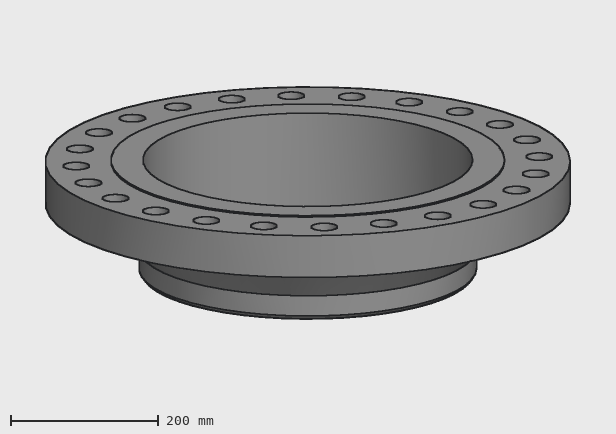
import cadquery as cq

flange_radius = 355.5
overall_height = 158.5
raised_face_height = 2.0
flange_thickness = 59.0
raised_face_radius = 267.0
bore_radius = 223.0

hub_base_radius = 267.0
neck_radius = 229.0
neck_height = 34.0
weld_bevel_height = 6.0
weld_bevel_width = 4.0

bolt_count = 24
bolt_circle_radius = 314.0
bolt_hole_diameter = 35.5
first_bolt_angle = 180.0 / bolt_count

flange_top = overall_height - raised_face_height
flange_bottom = flange_top - flange_thickness


def make_body():
    """Revolve the radial section of the flange, hub and neck about Z."""
    return (
        cq.Workplane("XZ")
        .moveTo(bore_radius, 0)
        .lineTo(neck_radius - weld_bevel_width, 0)
        .lineTo(neck_radius, weld_bevel_height)
        .lineTo(neck_radius, neck_height)
        .lineTo(hub_base_radius, flange_bottom)
        .lineTo(flange_radius, flange_bottom)
        .lineTo(flange_radius, flange_top)
        .lineTo(raised_face_radius, flange_top)
        .lineTo(raised_face_radius, overall_height)
        .lineTo(bore_radius, overall_height)
        .close()
        .revolve(360, (0, 0, 0), (0, 1, 0))
    )


def make_bolt_holes():
    """Cylinders through the flange, straddling the X and Y axes."""
    return (
        cq.Workplane("XY")
        .polarArray(bolt_circle_radius, first_bolt_angle, 360, bolt_count)
        .circle(bolt_hole_diameter / 2)
        .extrude(overall_height)
    )


result = make_body().cut(make_bolt_holes())